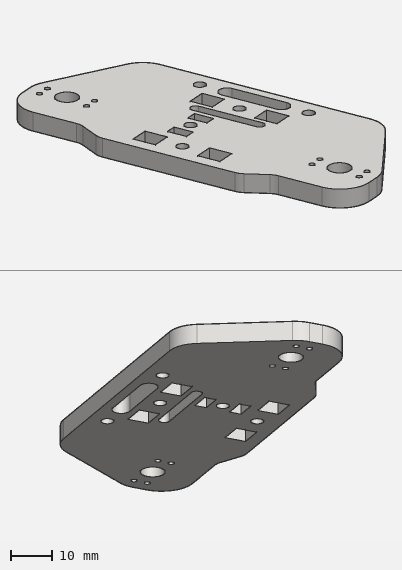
import cadquery as cq
import math

length = 99.0
depth = 44.0
thickness = 5.0

wing_front_y = 4.0
side_angle = 60.0
side_taper_start_y = 18.0
nose_half_width = 20.1
shoulder_x = 27.7
corner_radius = 8.0
wing_radius = 8.3
shoulder_radius = 4.7

wing_hole_x = 38.9
wing_hole_y = 15.7
wing_hole_diameter = 6.0
pin_diameter = 1.5
pin_spacing_x = 13.5
pin_spacing_y = 3.6

screw_diameter = 3.2
rear_row_y = 39.0
rear_screw_x = 15.5
center_screw_ys = (6.2, 32.3)

wide_slot_length = 20.0
wide_slot_width = 4.6
narrow_slot_length = 21.0
narrow_slot_width = 2.8
narrow_slot_y = 26.8

large_window_x = 9.2
large_window_length = 6.3
large_window_width = 5.4
large_window_ys = center_screw_ys
small_window_length = 5.4
small_window_width = 3.1
small_window_spacing = 9.3

sensor_x = -4.95
sensor_y = 17.8


def make_plate():
    half_length = length / 2
    taper_run = (depth - side_taper_start_y) / math.tan(math.radians(side_angle))
    rear_x = half_length - taper_run
    right_side = [
        (nose_half_width, 0),
        (shoulder_x, wing_front_y),
        (half_length, wing_front_y),
        (half_length, side_taper_start_y),
        (rear_x, depth),
    ]
    left_side = [(-x, y) for x, y in reversed(right_side)]
    plate = cq.Workplane("XY").polyline(right_side + left_side).close().extrude(thickness)

    corner_radii = (shoulder_radius, shoulder_radius, wing_radius, corner_radius, corner_radius)
    for (x, y), radius in zip(right_side, corner_radii):
        for side in (-1, 1):
            corner = cq.selectors.NearestToPointSelector((side * x, y, thickness / 2))
            plate = plate.edges("|Z").edges(corner).fillet(radius)
    return plate


def cut_holes(plate, centers, diameter):
    cutter = cq.Workplane("XY").pushPoints(centers).circle(diameter / 2).extrude(thickness)
    return plate.cut(cutter)


def cut_windows(plate, centers, window_length, window_width):
    cutter = cq.Workplane("XY").pushPoints(centers).rect(window_length, window_width)
    return plate.cut(cutter.extrude(thickness))


def cut_slot(plate, y, slot_length, slot_width):
    cutter = cq.Workplane("XY").center(0, y).slot2D(slot_length, slot_width).extrude(thickness)
    return plate.cut(cutter)


result = make_plate()

for wing_x in (-wing_hole_x, wing_hole_x):
    result = cut_holes(result, [(wing_x, wing_hole_y)], wing_hole_diameter)
    pin_centers = [
        (wing_x + i * pin_spacing_x / 2, wing_hole_y + j * pin_spacing_y / 2)
        for i in (-1, 1)
        for j in (-1, 1)
    ]
    result = cut_holes(result, pin_centers, pin_diameter)

screw_centers = [(-rear_screw_x, rear_row_y), (rear_screw_x, rear_row_y), (sensor_x, sensor_y)]
screw_centers += [(0, y) for y in center_screw_ys]
result = cut_holes(result, screw_centers, screw_diameter)

result = cut_slot(result, rear_row_y, wide_slot_length, wide_slot_width)
result = cut_slot(result, narrow_slot_y, narrow_slot_length, narrow_slot_width)

large_centers = [(x, y) for x in (-large_window_x, large_window_x) for y in large_window_ys]
result = cut_windows(result, large_centers, large_window_length, large_window_width)
small_centers = [(sensor_x, sensor_y + side * small_window_spacing / 2) for side in (-1, 1)]
result = cut_windows(result, small_centers, small_window_length, small_window_width)